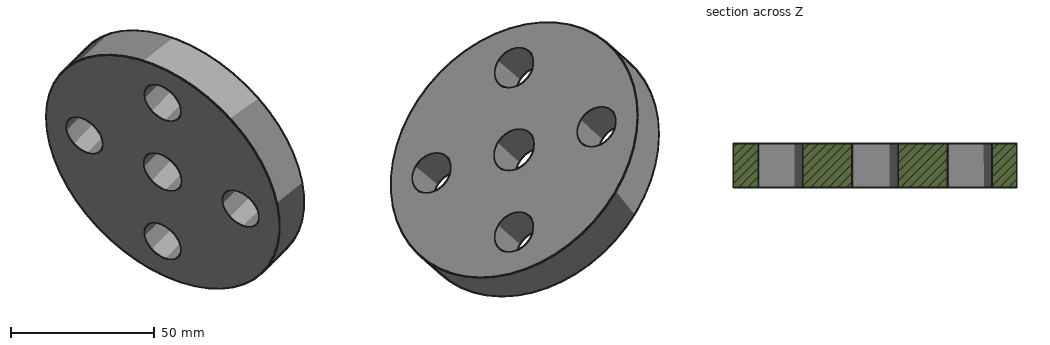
import cadquery as cq

disc_diameter = 98.9
disc_thickness = 15.4
edge_chamfer = 0.2

bore_diameter = 16.0
bolt_hole_diameter = 15.4
bolt_hole_count = 4
bolt_circle_diameter = 66.0


def front_plane():
    """Sketch plane on the -Y face of the disc; extruding runs towards +Y."""
    return cq.Workplane(cq.Plane(origin=(0, -disc_thickness / 2, 0), xDir=(-1, 0, 0), normal=(0, 1, 0)))


def flange_disc():
    """Plain disc with a small chamfer around both rims."""
    disc = front_plane().circle(disc_diameter / 2).extrude(disc_thickness)
    return disc.faces("<Y or >Y").edges().chamfer(edge_chamfer)


def through_holes():
    """Cutters for the central bore and the ring of bolt holes."""
    bore = front_plane().circle(bore_diameter / 2).extrude(disc_thickness)
    bolt_holes = (
        front_plane()
        .polarArray(bolt_circle_diameter / 2, 0, 360, bolt_hole_count)
        .circle(bolt_hole_diameter / 2)
        .extrude(disc_thickness)
    )
    return bore.union(bolt_holes)


result = flange_disc().cut(through_holes())